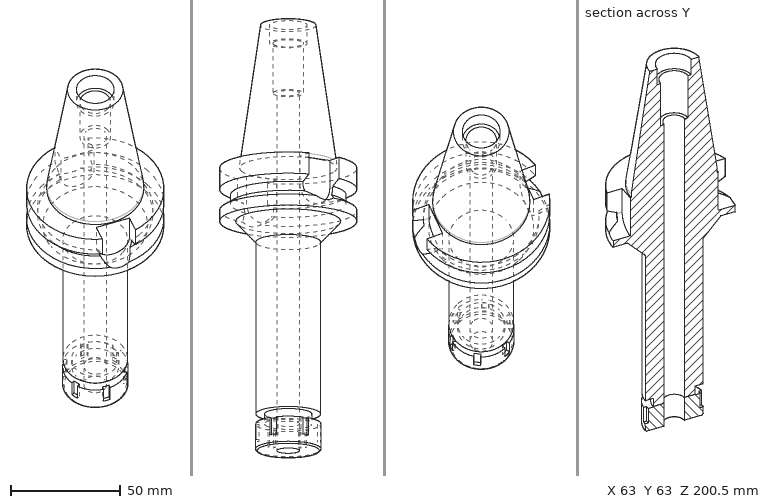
import cadquery as cq

TOTAL_LENGTH = 200.5
NUT_HEIGHT = 12.6
SHANK_BOTTOM = 17.2
FLANGE_TOP = 133.0
LAND_HEIGHT = 2.0
CONE_HEIGHT = 9.8

FLANGE_RADIUS = 31.5
FLANGE_HEIGHT = 25.0
UPPER_RIM_HEIGHT = 10.0
GROOVE_START = 12.6
GROOVE_END = 16.8
LOWER_RIM_START = 19.8
GROOVE_RADIUS = 26.5

DRIVE_SLOT_WIDTH = 16.2
DRIVE_SLOT_DEPTH = 21.2
DRIVE_SLOT_FLOOR = 22.6

LAND_RADIUS = 22.2
TAPER_RATIO = 7 / 24
CONE_RADIUS = 24.0
SHANK_RADIUS = 14.8
NECK_RADIUS = 10.8

THROUGH_RADIUS = 5.2
BORE_STEPS = ((8.6, 8.6), (7.0, 32.0))

NUT_RADIUS = 15.0
NUT_CHAMFER = 0.8
WRENCH_SLOT_COUNT = 6
WRENCH_SLOT_WIDTH = 3.2
WRENCH_SLOT_LENGTH = 8.0
WRENCH_SLOT_DEPTH = 1.6


def cylinder(radius, bottom, top):
    return cq.Workplane("XY").workplane(offset=bottom).circle(radius).extrude(top - bottom)


def turned_holder():
    """Taper, grooved flange, cone, shank and neck as one revolved profile."""
    land_top = FLANGE_TOP + LAND_HEIGHT
    taper_top_radius = LAND_RADIUS - (TOTAL_LENGTH - land_top) * TAPER_RATIO / 2
    flange_bottom = FLANGE_TOP - FLANGE_HEIGHT
    profile = [
        (0, NUT_HEIGHT),
        (NECK_RADIUS, NUT_HEIGHT),
        (NECK_RADIUS, SHANK_BOTTOM),
        (SHANK_RADIUS, SHANK_BOTTOM),
        (SHANK_RADIUS, flange_bottom - CONE_HEIGHT),
        (CONE_RADIUS, flange_bottom),
        (FLANGE_RADIUS, flange_bottom),
        (FLANGE_RADIUS, FLANGE_TOP - LOWER_RIM_START),
        (GROOVE_RADIUS, FLANGE_TOP - GROOVE_END),
        (GROOVE_RADIUS, FLANGE_TOP - GROOVE_START),
        (FLANGE_RADIUS, FLANGE_TOP - UPPER_RIM_HEIGHT),
        (FLANGE_RADIUS, FLANGE_TOP),
        (LAND_RADIUS, FLANGE_TOP),
        (LAND_RADIUS, land_top),
        (taper_top_radius, TOTAL_LENGTH),
        (0, TOTAL_LENGTH),
    ]
    return cq.Workplane("XZ").polyline(profile).close().revolve(360, (0, 0), (0, 1))


def drive_slot(side):
    """Round-bottomed slot cutter; side is +1 for +X and -1 for -X."""
    half_width = DRIVE_SLOT_WIDTH / 2
    slot_bottom = FLANGE_TOP - DRIVE_SLOT_DEPTH
    arc_start = slot_bottom + half_width
    return (
        cq.Workplane("YZ", origin=(side * DRIVE_SLOT_FLOOR, 0, 0))
        .moveTo(-half_width, FLANGE_TOP)
        .lineTo(-half_width, arc_start)
        .threePointArc((0, slot_bottom), (half_width, arc_start))
        .lineTo(half_width, FLANGE_TOP)
        .close()
        .extrude(side * FLANGE_RADIUS)
    )


def make_holder():
    holder = turned_holder()
    for side in (-1, 1):
        holder = holder.cut(drive_slot(side))
    holder = holder.cut(cylinder(THROUGH_RADIUS, NUT_HEIGHT, TOTAL_LENGTH))
    for radius, depth in BORE_STEPS:
        holder = holder.cut(cylinder(radius, TOTAL_LENGTH - depth, TOTAL_LENGTH))
    return holder


def make_nut():
    """Round nut with wrench slots open at its upper face."""
    nut = cylinder(NUT_RADIUS, 0, NUT_HEIGHT).faces("<Z").chamfer(NUT_CHAMFER)
    nut = nut.cut(cylinder(THROUGH_RADIUS, 0, NUT_HEIGHT))
    wrench_slot = cq.Workplane("XY").box(
        2 * WRENCH_SLOT_DEPTH, WRENCH_SLOT_WIDTH, 2 * WRENCH_SLOT_LENGTH
    ).translate((NUT_RADIUS, 0, NUT_HEIGHT))
    for index in range(WRENCH_SLOT_COUNT):
        angle = index * 360 / WRENCH_SLOT_COUNT
        nut = nut.cut(wrench_slot.rotate((0, 0, 0), (0, 0, 1), angle))
    return nut


holder = make_holder()
nut = make_nut()
result = cq.Compound.makeCompound([holder.val(), nut.val()])